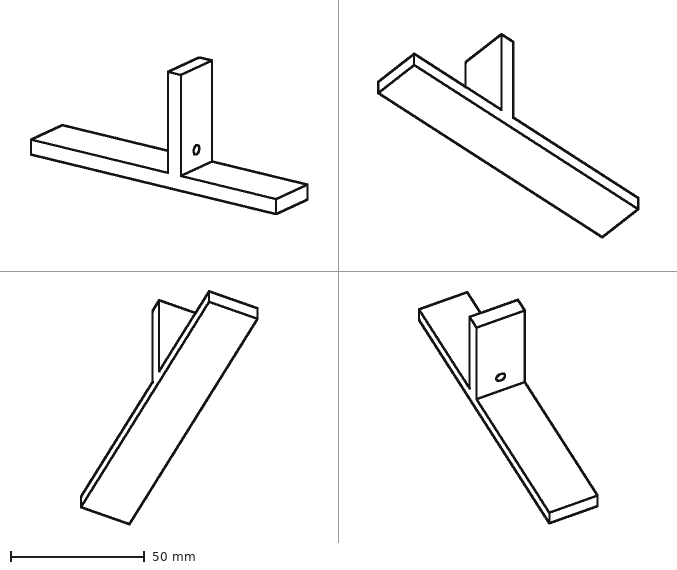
import cadquery as cq

base_length = 113.0
width = 20.0
total_height = 46.0
plate_thickness = 6.0
upright_start = 63.0
hole_diameter = 3.6
hole_height = 13.5

upright_center = upright_start + plate_thickness / 2

base = cq.Workplane("XY").box(base_length, width, plate_thickness, centered=(False, True, False))

upright = (
    cq.Workplane("XY")
    .center(upright_center, 0)
    .box(plate_thickness, width, total_height, centered=(True, True, False))
)

hole = (
    cq.Workplane("YZ", origin=(upright_start, 0, hole_height))
    .circle(hole_diameter / 2)
    .extrude(plate_thickness)
)

result = base.union(upright).cut(hole)